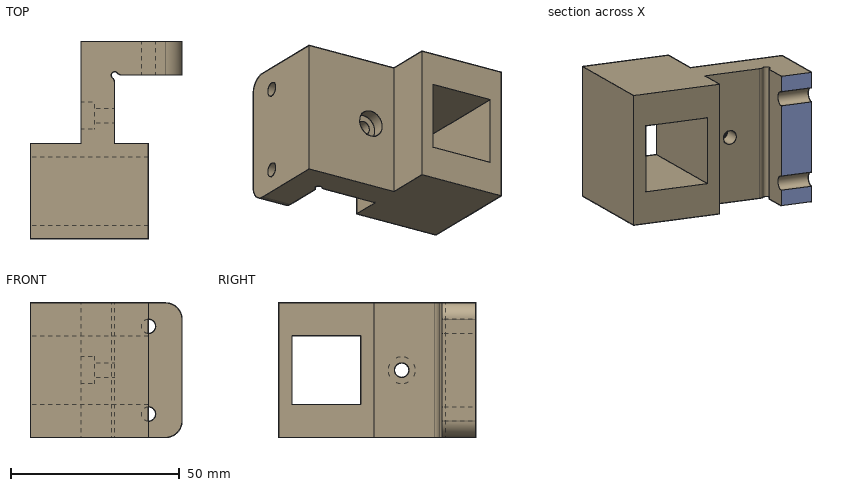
import cadquery as cq
import math

height = 40.0
overall_length = 58.5

tube_opening = 20.3
sleeve_wall = 4.0
block_width = 35.0
block_length = tube_opening + 2 * sleeve_wall

arm_thickness = 10.0
web_left = 15.0
web_right = web_left + arm_thickness
flange_length = 30.0
flange_right = web_left + flange_length
flange_front = overall_length - arm_thickness
corner_radius = 5.0

relief_radius = 1.0
relief_blend_radius = 2.0

screw_diameter = 4.2
screw_head_diameter = 8.0
screw_head_depth = 4.0
web_screw_y = 36.5
flange_screw_x = block_width
flange_screw_spacing = 26.0


def make_block():
    return cq.Workplane("XY").box(block_width, block_length, height, centered=False)


def make_arm():
    """L-shaped arm whose inside corner is a round relief blended into both faces."""
    blend_reach = math.sqrt((relief_radius + relief_blend_radius) ** 2 - relief_blend_radius**2)
    blend_angle = math.atan2(relief_blend_radius, blend_reach)
    joint_along = relief_radius * math.cos(blend_angle)
    joint_deep = relief_radius * math.sin(blend_angle)
    mid_angle = (math.pi / 2 + blend_angle) / 2
    mid_along = blend_reach - relief_blend_radius * math.cos(mid_angle)
    mid_deep = relief_blend_radius * (1 - math.sin(mid_angle))
    relief_bottom = relief_radius / math.sqrt(2)

    def from_corner(right, back):
        return (web_right + right, flange_front + back)

    arm = (
        cq.Workplane("XY")
        .moveTo(web_left, block_length)
        .lineTo(web_left, overall_length)
        .lineTo(flange_right, overall_length)
        .lineTo(flange_right, flange_front)
        .lineTo(*from_corner(blend_reach, 0))
        .threePointArc(from_corner(mid_along, mid_deep), from_corner(joint_along, joint_deep))
        .threePointArc(
            from_corner(-relief_bottom, relief_bottom),
            from_corner(-joint_deep, -joint_along),
        )
        .threePointArc(from_corner(-mid_deep, -mid_along), from_corner(0, -blend_reach))
        .lineTo(web_right, block_length)
        .close()
        .extrude(height)
    )
    return arm.faces(">X").edges("|Y").fillet(corner_radius)


def cut_tube_opening(body):
    opening = cq.Workplane("XY").box(
        block_width, tube_opening, tube_opening, centered=(False, True, True)
    )
    return body.cut(opening.translate((0, block_length / 2, height / 2)))


def cut_web_screw(body):
    """Counterbored hole through the web along X, with its head on the -X side."""
    face = cq.Workplane("YZ", origin=(web_left, web_screw_y, height / 2))
    body = body.cut(face.circle(screw_diameter / 2).extrude(arm_thickness))
    return body.cut(face.circle(screw_head_diameter / 2).extrude(screw_head_depth))


def cut_flange_screws(body):
    """Two plain holes through the flange along Y, one above the other."""
    for side in (-1, 1):
        screw_z = height / 2 + side * flange_screw_spacing / 2
        face = cq.Workplane("XZ", origin=(flange_screw_x, overall_length, screw_z))
        body = body.cut(face.circle(screw_diameter / 2).extrude(arm_thickness))
    return body


result = make_block().union(make_arm())
result = cut_tube_opening(result)
result = cut_web_screw(result)
result = cut_flange_screws(result)